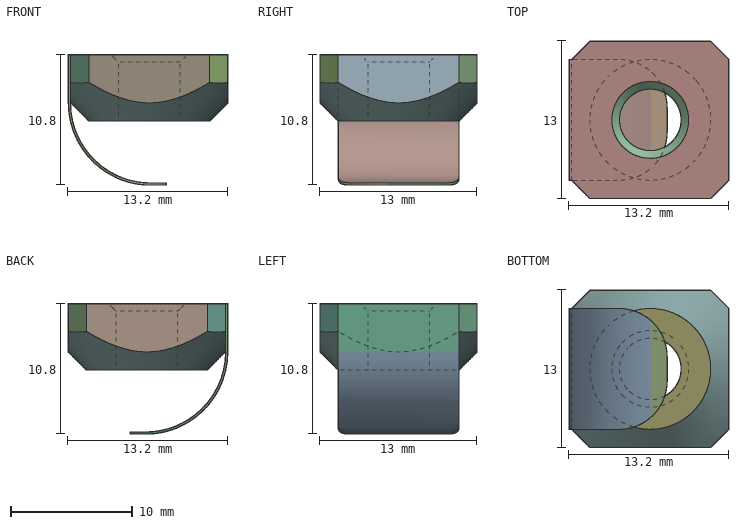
import cadquery as cq

overall_length = 13.2
body_side = 13.0
overall_height = 10.8
body_height = 5.5
spring_thickness = overall_length - body_side

corner_cut = 1.5
underside_radius = body_side / 2 - corner_cut
cone_top_radius = underside_radius + body_height

hole_diameter = 5.08
countersink_diameter = 6.35
countersink_angle = 90

leaf_width = body_side - 2 * corner_cut
leaf_straight = 4.0
bend_radius = overall_height - leaf_straight
leaf_reach = 8.1
tip_corner_radius = 4.0

body_left = -body_side / 2
leaf_left = body_left - spring_thickness


def make_body():
    block = (
        cq.Workplane("XY")
        .workplane(offset=-body_height)
        .rect(body_side, body_side)
        .extrude(body_height)
        .edges("|Z")
        .chamfer(corner_cut)
    )
    cone = (
        cq.Workplane("XZ")
        .moveTo(0, -body_height)
        .lineTo(underside_radius, -body_height)
        .lineTo(cone_top_radius, 0)
        .lineTo(0, 0)
        .close()
        .revolve(360, (0, 0), (0, 1))
    )
    body = block.intersect(cone)
    return (
        body.faces(">Z")
        .workplane(origin=(0, 0, 0))
        .cskHole(hole_diameter, countersink_diameter, countersink_angle)
    )


def make_spring_leaf():
    inner_radius = bend_radius - spring_thickness
    bend_x = leaf_left + bend_radius
    tip_x = leaf_left + leaf_reach
    bottom = -overall_height
    strip = (
        cq.Workplane("XZ")
        .moveTo(leaf_left, 0)
        .lineTo(leaf_left, -leaf_straight)
        .radiusArc((bend_x, bottom), -bend_radius)
        .lineTo(tip_x, bottom)
        .lineTo(tip_x, bottom + spring_thickness)
        .lineTo(bend_x, bottom + spring_thickness)
        .radiusArc((body_left, -leaf_straight), inner_radius)
        .lineTo(body_left, 0)
        .close()
        .extrude(leaf_width / 2, both=True)
    )
    rounded_plan = (
        cq.Workplane("XY")
        .workplane(offset=bottom)
        .center(leaf_left + leaf_reach / 2, 0)
        .rect(leaf_reach, leaf_width)
        .extrude(overall_height)
        .edges("|Z and >X")
        .fillet(tip_corner_radius)
    )
    return strip.intersect(rounded_plan)


result = make_body().union(make_spring_leaf())